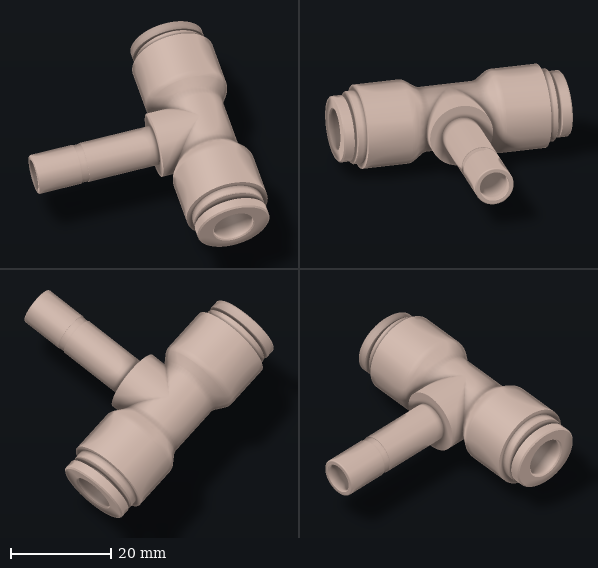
import cadquery as cq
import math


half_length = 23.6

tube_bore = 8.2
tube_bore_depth = 12.25
tube_bore_chamfer = 0.25

flange_width = 14.95
flange_height = 13.0
flange_thickness = 2.12
flange_chamfer = 0.3
neck_diameter = 9.6

collar_diameter = 14.7
collar_chamfer = 0.15
collar_front_depth = 2.95

socket_diameter = 16.9
socket_front_depth = 4.7
shoulder_depth = 14.65
waist_depth = 17.55
waist_diameter = 13.0
shoulder_radius = 2.15

branch_length = 9.55
stem_diameter = 8.0
stem_length = 34.5
stem_tip_radius = 0.3
stem_bore = 6.0
stem_bore_depth = 18.9
stem_bore_chamfer = 0.1
groove_diameter = 7.7
groove_start = 24.1
groove_end = 25.65


def disc_x(diameter, depth_from, depth_to):
    """Cylinder on the X axis between two depths measured from the -X end of the part."""
    start = cq.Workplane("YZ", origin=(depth_from - half_length, 0, 0))
    return start.circle(diameter / 2).extrude(depth_to - depth_from)


def disc_y(diameter, distance_from, distance_to):
    """Cylinder on the stem axis between two distances from the run axis."""
    start = cq.Workplane("XZ", origin=(0, -distance_from, 0))
    return start.circle(diameter / 2).extrude(distance_to - distance_from)


def on_both_ends(body):
    """The body at the -X end and its mirror image at the +X end."""
    return [body, body.mirror("YZ")]


def make_run_half():
    """The -X half of the run, turned about X: socket, rounded shoulder, waist."""
    socket_radius = socket_diameter / 2
    waist_radius = waist_diameter / 2
    front_x = socket_front_depth - half_length
    shoulder_x = shoulder_depth - half_length
    waist_x = waist_depth - half_length

    drop = socket_radius - waist_radius
    slope = math.atan2(drop, waist_x - shoulder_x)
    tangent = shoulder_radius * math.tan(slope / 2)
    along_x = tangent * math.cos(slope)
    along_r = tangent * math.sin(slope)
    sagitta = shoulder_radius * (1 - math.cos(slope / 2))
    mid_x = shoulder_radius * math.sin(slope / 2)
    arc_start_x = shoulder_x - tangent
    arc_end_x = waist_x + tangent

    return (
        cq.Workplane("XY")
        .moveTo(front_x, 0)
        .lineTo(front_x, socket_radius)
        .lineTo(arc_start_x, socket_radius)
        .threePointArc(
            (arc_start_x + mid_x, socket_radius - sagitta),
            (shoulder_x + along_x, socket_radius - along_r),
        )
        .lineTo(waist_x - along_x, waist_radius + along_r)
        .threePointArc(
            (arc_end_x - mid_x, waist_radius + sagitta),
            (arc_end_x, waist_radius),
        )
        .lineTo(0, waist_radius)
        .lineTo(0, 0)
        .close()
        .revolve(360, (0, 0, 0), (1, 0, 0))
    )


def make_stem():
    """Plug-in stem with a rounded tip and a shallow groove."""
    stem = disc_y(stem_diameter, 0, stem_length).faces("<Y").edges().fillet(stem_tip_radius)
    groove = disc_y(stem_diameter, groove_start, groove_end).cut(
        disc_y(groove_diameter, groove_start, groove_end)
    )
    return stem.cut(groove)


def make_housing():
    """Tee body in one piece with its stem; all three bores are blind."""
    run_half = make_run_half()
    housing = run_half.union(run_half.mirror("YZ"))
    housing = housing.union(disc_y(waist_diameter, 0, branch_length))
    housing = housing.union(make_stem())

    tube_socket = disc_x(tube_bore, socket_front_depth, tube_bore_depth)
    for cutter in on_both_ends(tube_socket):
        housing = housing.cut(cutter)
    housing = housing.cut(disc_y(stem_bore, stem_length - stem_bore_depth, stem_length))
    stem_bore_rim = housing.faces("<Y").edges(cq.selectors.RadiusNthSelector(0))
    return stem_bore_rim.chamfer(stem_bore_chamfer)


def make_collar():
    """Ring on the front face of the -X socket."""
    ring = disc_x(collar_diameter, collar_front_depth, socket_front_depth)
    ring = ring.faces("<X").edges().chamfer(collar_chamfer)
    return ring.cut(disc_x(tube_bore, collar_front_depth, socket_front_depth))


def make_release_sleeve():
    """Sleeve with an oval push flange at the -X end."""
    flange = (
        cq.Workplane("YZ", origin=(-half_length, 0, 0))
        .ellipse(flange_width / 2, flange_height / 2)
        .extrude(flange_thickness)
        .faces("<X")
        .edges()
        .chamfer(flange_chamfer)
    )
    sleeve = flange.union(disc_x(neck_diameter, flange_thickness, collar_front_depth))
    sleeve = sleeve.cut(disc_x(tube_bore, 0, collar_front_depth))
    bore_rim = sleeve.faces("<X").edges(cq.selectors.RadiusNthSelector(0))
    return bore_rim.chamfer(tube_bore_chamfer)


housing = make_housing()
collars = on_both_ends(make_collar())
release_sleeves = on_both_ends(make_release_sleeve())

result = cq.Compound.makeCompound(
    [housing.val()]
    + [collar.val() for collar in collars]
    + [sleeve.val() for sleeve in release_sleeves]
)